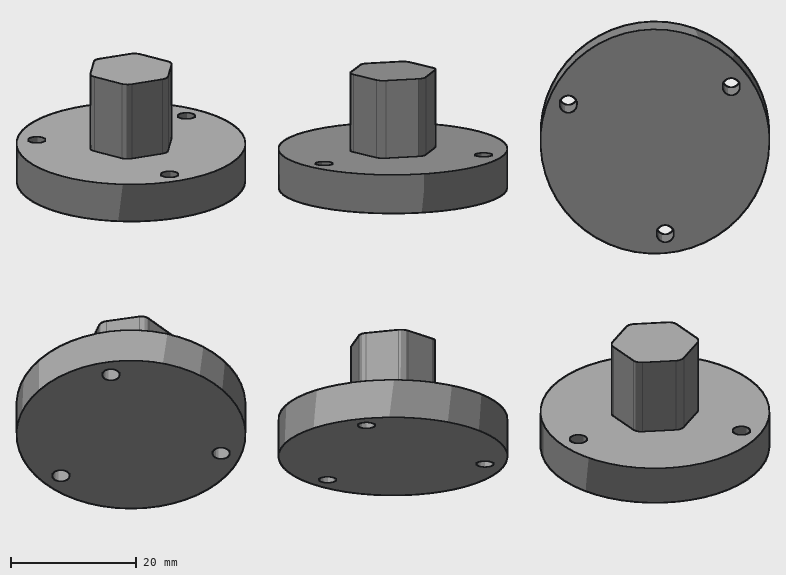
import cadquery as cq
import math

flange_diameter = 36.51
flange_thickness = 6.35

hex_sides = 6
hex_across_flats = 12.45
hex_height = 12.7
hex_edge_radius = 1.5875
hex_across_corners = hex_across_flats / math.cos(math.pi / hex_sides)

hole_count = 3
hole_diameter = 2.77
hole_circle_radius = 15.08
first_hole_angle = 90
full_turn = 360


def make_flange():
    return cq.Workplane("XY").circle(flange_diameter / 2).extrude(flange_thickness)


def make_hex_boss():
    boss = (
        cq.Workplane("XY")
        .workplane(offset=flange_thickness)
        .polygon(hex_sides, hex_across_corners)
        .extrude(hex_height)
    )
    return boss.edges("|Z").fillet(hex_edge_radius)


def make_hole_cutters():
    return (
        cq.Workplane("XY")
        .polarArray(hole_circle_radius, first_hole_angle, full_turn, hole_count)
        .circle(hole_diameter / 2)
        .extrude(flange_thickness)
    )


result = make_flange().union(make_hex_boss()).cut(make_hole_cutters())